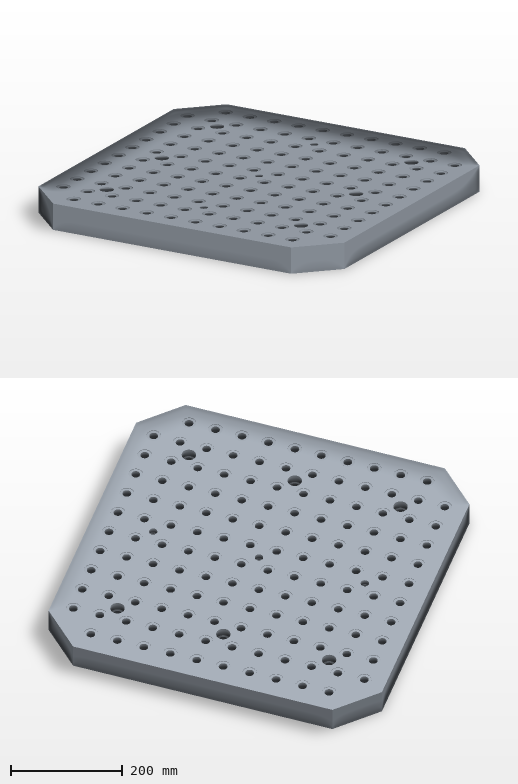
import cadquery as cq

side = 630.0
thickness = 50.0
corner_cut = 70.0

grid_count = 12
grid_span = 550.0
pitch = grid_span / (grid_count - 1)
grid_bore = 16.0
grid_recess = 26.0
grid_recess_depth = 1.0

row_spacing = 4 * pitch
row_positions = [-row_spacing, 0, row_spacing]
mount_bore = 17.5
mount_recess = 26.0
mount_recess_depth = 16.5
locating_bore = 9.0
locating_recess = 15.0
locating_recess_depth = 10.0


def grid_points():
    """Centres of the square hole grid without its corners."""
    last = grid_count - 1
    offset = grid_span / 2
    points = []
    for column in range(grid_count):
        for row in range(grid_count):
            is_corner = column in (0, last) and row in (0, last)
            if not is_corner:
                points.append((column * pitch - offset, row * pitch - offset))
    return points


def drill_stepped(body, points, bore, recess, recess_depth):
    """Through holes with a wider, flat-bottomed recess in the top face."""
    top = body.faces(">Z").workplane(origin=(0, 0, thickness))
    return top.pushPoints(points).cboreHole(bore, recess, recess_depth)


plate = cq.Workplane("XY").box(side, side, thickness, centered=(True, True, False))
plate = plate.edges("|Z").chamfer(corner_cut)

mount_points = [(x, y) for x in (-row_spacing, row_spacing) for y in row_positions]
locating_points = [(0, y) for y in row_positions]

plate = drill_stepped(plate, grid_points(), grid_bore, grid_recess, grid_recess_depth)
plate = drill_stepped(plate, mount_points, mount_bore, mount_recess, mount_recess_depth)
plate = drill_stepped(plate, locating_points, locating_bore, locating_recess, locating_recess_depth)

result = plate